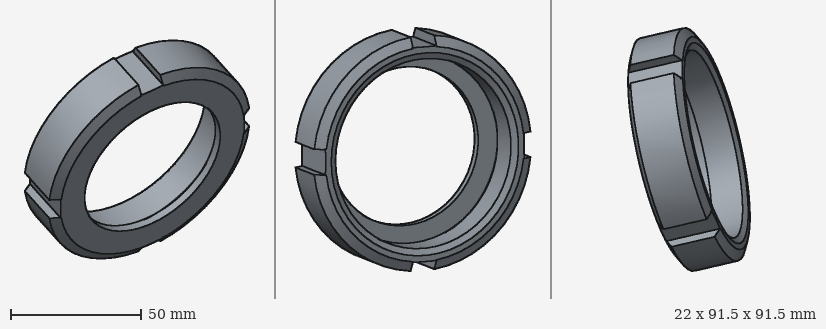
import cadquery as cq
import math

across_slots = 91.45
width = 22.0
slot_width = 10.0
slot_floor_distance = 42.0
outer_radius = math.hypot(across_slots / 2, slot_width / 2)

face_radius = 42.0
chamfer_length = 2.3

bore_radius = 62.0 / 2
recess_radius = 74.2 / 2
mouth_radius = 39.6
mouth_angle = math.radians(30)
mouth_length = (mouth_radius - recess_radius) * math.tan(mouth_angle)
floor_thickness = 3.5

relief_radius = 78.4 / 2
relief_length = 4.7

front_x = -width / 2
back_x = width / 2
floor_x = back_x - floor_thickness
relief_x = floor_x - relief_length


def ring_body():
    """Revolve the half section, drawn as (x, radius), about the X axis."""
    section = [
        (front_x, mouth_radius),
        (front_x, face_radius),
        (front_x + chamfer_length, outer_radius),
        (back_x - chamfer_length, outer_radius),
        (back_x, face_radius),
        (back_x, bore_radius),
        (floor_x, bore_radius),
        (floor_x, relief_radius),
        (relief_x, relief_radius),
        (relief_x, recess_radius),
        (front_x + mouth_length, recess_radius),
    ]
    return cq.Workplane("XY").polyline(section).close().revolve(360, (0, 0, 0), (1, 0, 0))


def spanner_slot(angle):
    """Cutter for one full-width slot with a flat floor, turned about the X axis."""
    cutter_height = outer_radius
    cutter = cq.Workplane("XY").box(width, slot_width, cutter_height, centered=(True, True, False))
    return cutter.translate((0, 0, slot_floor_distance)).rotate((0, 0, 0), (1, 0, 0), angle)


result = ring_body()
for slot_angle in (0, 90, 180, 270):
    result = result.cut(spanner_slot(slot_angle))